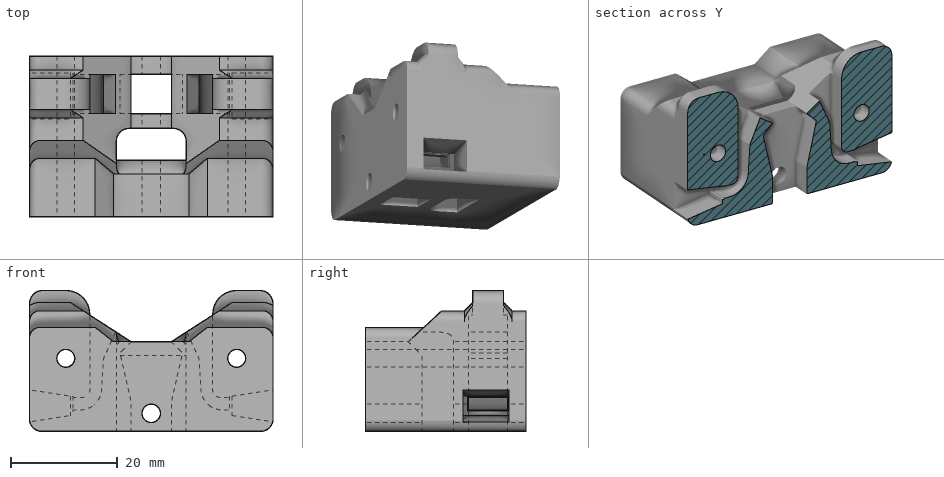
import cadquery as cq
import math

WIDTH = 45.62
DEPTH = 30.1
HEIGHT = 26.42
HALF_WIDTH = WIDTH / 2
TOP_CORNER_RADIUS = 2.0
BOTTOM_CORNER_SIZE = 2.0
BOTTOM_CORNER_RADIUS = 2.5
CLEARANCE = 5.0

FRONT_HEIGHT = 19.5
TROUGH_FLOOR = 16.8
TROUGH_FLOOR_HALF = 7.05
TROUGH_TOP_HALF = 10.5

REAR_HEIGHT = 22.6
V_FLOOR_HALF = 3.76
V_TOP_HALF = 12.75
V_SLOPE = (REAR_HEIGHT - TROUGH_FLOOR) / (V_TOP_HALF - V_FLOOR_HALF)

RAMP_FOOT_Y = 8.04
RAMP_TOP_Y = 14.3
RAMP_SLOPE = (REAR_HEIGHT - TROUGH_FLOOR) / (RAMP_TOP_Y - RAMP_FOOT_Y)

PAD_FRONT_Y = 20.1
PAD_BACK_Y = 25.9
PAD_OUTER_RADIUS = 2.5
PAD_INNER_RADIUS = 4.5
PAD_INNER_X = 11.5
PAD_BLEND = 1.57

STRAP_FRONT_Y = 19.3
STRAP_BACK_Y = 26.65
STRAP_MOUTH_X = 6.65
STRAP_KINK_X = 8.95
STRAP_ENTRY_ANGLE = 65.5
STRAP_BEND_RADIUS = 4.0
STRAP_BEND_X = 13.3
STRAP_FLOOR = 4.03
STRAP_CEILING = 6.38
STRAP_INNER_RADIUS = 1.4
STRAP_RIM = 0.15
STRAP_RIM_DEPTH = 0.5

RECESS_FRONT_Y = 18.3
RECESS_BACK_Y = 26.9
RECESS_BOTTOM = 1.8
RECESS_TOP = 7.8
RECESS_DEPTH = 7.7
RECESS_TAPER = 8.8

WELL_HALF = 6.52
WELL_FRONT_Y = 7.1
WELL_BACK_Y = 16.54
WELL_RADIUS = 2.4
WELL_LEDGE_Y = 10.6

OPENING_WIDEST_HALF = 5.86
OPENING_TAPER = 12.9

SIDE_HOLE_DIAMETER = 3.3
SIDE_HOLE_X = 16.0
SIDE_HOLE_Z = 13.7
CENTRE_HOLE_DIAMETER = 3.4
CENTRE_HOLE_Z = 3.4


def xz_plane(y):
    """Workplane at the given Y whose local axes are X and Z and whose normal is -Y."""
    return cq.Workplane(cq.Plane(origin=(0, y, 0), xDir=(1, 0, 0), normal=(0, -1, 0)))


def extrude_y(outline, length):
    """Extrude an XZ outline toward +Y."""
    return outline.extrude(-length)


def box(x0, x1, y0, y1, z0, z1):
    return cq.Workplane("XY").box(x1 - x0, y1 - y0, z1 - z0, centered=False).translate((x0, y0, z0))


def both_sides(solid):
    """Join a solid made on the +X side with its mirror image."""
    return solid.union(solid.mirror("YZ"))


def rounded_block(y0, y1, height):
    """Full-width block with rounded edges along Y."""
    flat_half = HALF_WIDTH - BOTTOM_CORNER_SIZE
    outline = (
        xz_plane(y0)
        .moveTo(-flat_half, 0)
        .lineTo(flat_half, 0)
        .radiusArc((HALF_WIDTH, BOTTOM_CORNER_SIZE), -BOTTOM_CORNER_RADIUS)
        .lineTo(HALF_WIDTH, height)
        .lineTo(-HALF_WIDTH, height)
        .lineTo(-HALF_WIDTH, BOTTOM_CORNER_SIZE)
        .radiusArc((-flat_half, 0), -BOTTOM_CORNER_RADIUS)
        .close()
    )
    block = extrude_y(outline, y1 - y0)
    return block.edges("|Y and >Z").fillet(TOP_CORNER_RADIUS)


def trough_cutter(floor_half, slope, y0, y1):
    """Flat-bottomed V groove along Y, open at the top."""
    top = HEIGHT + CLEARANCE
    top_half = floor_half + (top - TROUGH_FLOOR) / slope
    outline = xz_plane(y0).polyline(
        [(-floor_half, TROUGH_FLOOR), (floor_half, TROUGH_FLOOR), (top_half, top), (-top_half, top)]
    ).close()
    return extrude_y(outline, y1 - y0)


def front_block():
    slope = (FRONT_HEIGHT - TROUGH_FLOOR) / (TROUGH_TOP_HALF - TROUGH_FLOOR_HALF)
    block = rounded_block(0, RAMP_TOP_Y, FRONT_HEIGHT)
    return block.cut(trough_cutter(TROUGH_FLOOR_HALF, slope, 0, RAMP_TOP_Y))


def pad_blend(y_start, y_end):
    """45 degree flare of the rear block's outline, growing from y_start to y_end."""
    direction = 1 if y_end > y_start else -1
    plane = cq.Plane(origin=(0, y_start, REAR_HEIGHT / 2), xDir=(1, 0, 0), normal=(0, direction, 0))
    section = cq.Sketch().rect(WIDTH, REAR_HEIGHT).vertices().fillet(TOP_CORNER_RADIUS)
    flare = cq.Workplane(plane).placeSketch(section).extrude(PAD_BLEND, taper=-45)
    envelope = box(-HALF_WIDTH, HALF_WIDTH, 0, DEPTH, BOTTOM_CORNER_SIZE, HEIGHT)
    return flare.intersect(envelope)


def ramp_cutter():
    """Everything in front of and above the ramp plane."""
    top = HEIGHT + CLEARANCE
    foot_y = RAMP_FOOT_Y - TROUGH_FLOOR / RAMP_SLOPE
    top_y = RAMP_FOOT_Y + (top - TROUGH_FLOOR) / RAMP_SLOPE
    outline = cq.Workplane("YZ").polyline([(foot_y, 0), (top_y, top), (foot_y, top)]).close()
    return outline.extrude(HALF_WIDTH + CLEARANCE, both=True)


def pads():
    pad = box(PAD_INNER_X, HALF_WIDTH, PAD_FRONT_Y, PAD_BACK_Y, TROUGH_FLOOR, HEIGHT)
    pad = pad.edges("|Y and >Z and >X").fillet(PAD_OUTER_RADIUS)
    pad = pad.edges("|Y and <X and >Z").fillet(PAD_INNER_RADIUS)
    return both_sides(pad)


def rear_block():
    block = rounded_block(0, DEPTH, REAR_HEIGHT).cut(ramp_cutter())
    block = block.union(pad_blend(PAD_FRONT_Y - PAD_BLEND, PAD_FRONT_Y))
    block = block.union(pad_blend(PAD_BACK_Y + PAD_BLEND, PAD_BACK_Y))
    block = block.union(rounded_block(PAD_FRONT_Y, PAD_BACK_Y, REAR_HEIGHT))
    block = block.cut(trough_cutter(V_FLOOR_HALF, V_SLOPE, 0, DEPTH))
    return block.union(pads())


def strap_channels():
    mouth_z = TROUGH_FLOOR + (STRAP_MOUTH_X - V_FLOOR_HALF) * V_SLOPE
    kink_z = mouth_z - (STRAP_KINK_X - STRAP_MOUTH_X) * math.tan(math.radians(STRAP_ENTRY_ANGLE))
    bend_z = STRAP_FLOOR + STRAP_BEND_RADIUS
    inner_bend_z = STRAP_CEILING + STRAP_INNER_RADIUS
    end_x = HALF_WIDTH - RECESS_DEPTH
    outline = (
        xz_plane(STRAP_FRONT_Y)
        .moveTo(STRAP_MOUTH_X, REAR_HEIGHT)
        .lineTo(STRAP_MOUTH_X, mouth_z)
        .lineTo(STRAP_KINK_X, kink_z)
        .lineTo(STRAP_BEND_X - STRAP_BEND_RADIUS, bend_z)
        .radiusArc((STRAP_BEND_X, STRAP_FLOOR), -STRAP_BEND_RADIUS)
        .lineTo(end_x, STRAP_FLOOR)
        .lineTo(end_x, STRAP_CEILING)
        .lineTo(PAD_INNER_X + STRAP_INNER_RADIUS, STRAP_CEILING)
        .radiusArc((PAD_INNER_X, inner_bend_z), STRAP_INNER_RADIUS)
        .lineTo(PAD_INNER_X, REAR_HEIGHT)
        .close()
    )
    return both_sides(extrude_y(outline, STRAP_BACK_Y - STRAP_FRONT_Y))


def strap_recesses():
    inner_x = HALF_WIDTH - RECESS_DEPTH
    narrowing = RECESS_DEPTH * math.tan(math.radians(RECESS_TAPER))
    outline = xz_plane(RECESS_FRONT_Y).polyline(
        [
            (HALF_WIDTH, RECESS_BOTTOM),
            (HALF_WIDTH, RECESS_TOP),
            (inner_x, RECESS_TOP - narrowing),
            (inner_x, RECESS_BOTTOM + narrowing),
        ]
    ).close()
    return both_sides(extrude_y(outline, RECESS_BACK_Y - RECESS_FRONT_Y))


def strap_rims():
    """Shallow step around each strap exit, at the inner end of the recess."""
    end_x = HALF_WIDTH - RECESS_DEPTH
    rim = box(
        end_x - STRAP_RIM_DEPTH,
        end_x,
        STRAP_FRONT_Y - STRAP_RIM,
        STRAP_BACK_Y + STRAP_RIM,
        STRAP_FLOOR - STRAP_RIM,
        STRAP_CEILING + STRAP_RIM,
    )
    return both_sides(rim)


def well():
    """Rounded vertical well; its front wall slopes back at 45 degrees, then drops straight."""
    shaft = box(-WELL_HALF, WELL_HALF, WELL_FRONT_Y, WELL_BACK_Y, 0, HEIGHT)
    shaft = shaft.edges("|Z").fillet(WELL_RADIUS)
    ledge_z = TROUGH_FLOOR - (WELL_LEDGE_Y - RAMP_FOOT_Y)
    front_top_z = TROUGH_FLOOR + RAMP_FOOT_Y
    ledge = cq.Workplane("YZ").polyline(
        [(0, 0), (WELL_LEDGE_Y, 0), (WELL_LEDGE_Y, ledge_z), (0, front_top_z)]
    ).close()
    return shaft.cut(ledge.extrude(HALF_WIDTH, both=True))


def central_opening():
    """Opening that flares at 45 degrees under its rim, then tapers back to the rim width."""
    flare = OPENING_WIDEST_HALF - V_FLOOR_HALF
    widest_z = TROUGH_FLOOR - flare
    neck_z = widest_z - flare / math.tan(math.radians(OPENING_TAPER))
    right_side = [
        (V_FLOOR_HALF, 0),
        (V_FLOOR_HALF, neck_z),
        (OPENING_WIDEST_HALF, widest_z),
        (V_FLOOR_HALF, TROUGH_FLOOR),
    ]
    left_side = [(-x, z) for x, z in reversed(right_side)]
    outline = xz_plane(STRAP_FRONT_Y).polyline(right_side + left_side).close()
    return extrude_y(outline, STRAP_BACK_Y - STRAP_FRONT_Y)


def screw_holes():
    side = extrude_y(
        xz_plane(0).pushPoints([(-SIDE_HOLE_X, SIDE_HOLE_Z), (SIDE_HOLE_X, SIDE_HOLE_Z)])
        .circle(SIDE_HOLE_DIAMETER / 2),
        DEPTH,
    )
    centre = extrude_y(xz_plane(0).center(0, CENTRE_HOLE_Z).circle(CENTRE_HOLE_DIAMETER / 2), DEPTH)
    return side.union(centre)


result = front_block().union(rear_block())
cutters = [
    strap_channels(),
    strap_rims(),
    strap_recesses(),
    well(),
    central_opening(),
    screw_holes(),
]
for cutter in cutters:
    result = result.cut(cutter)